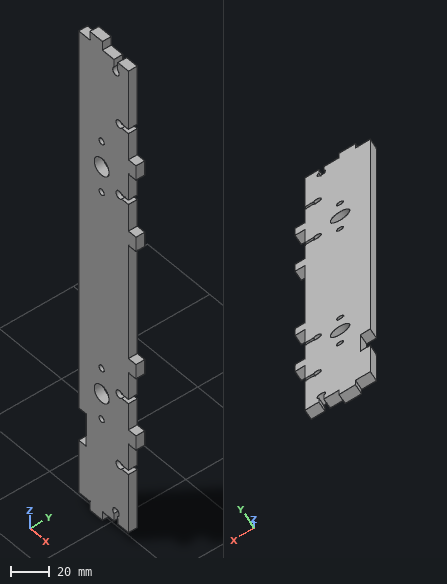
import cadquery as cq

thickness = 6.0
total_height = 337.2
tab_depth = thickness
tab_length = 10.0
body_width = 40.0
body_height = total_height - 2 * tab_depth

end_tab_x = 14.0
side_tab_heights = (45.0, 95.0)

neck_width = 3.0
relief_diameter = 5.0
relief_depth = 7.5
end_slot_x = 30.0
side_slot_heights = (70.0, 120.0)

hole_x = 18.5
hole_group_height = 80.0
large_hole_diameter = 11.8
small_hole_diameter = 4.0
small_hole_offset = 18.0

notch_depth = 6.0
notch_length = 22.5
notch_center_height = -114.3


def block(x_center, z_center, x_size, z_size):
    """Box through the full plate thickness."""
    return cq.Workplane("XY").box(x_size, thickness, z_size).translate((x_center, 0, z_center))


def disc(x_center, z_center, diameter):
    """Cylinder through the full plate thickness."""
    return (
        cq.Workplane("XZ")
        .center(x_center, z_center)
        .circle(diameter / 2)
        .extrude(thickness / 2, both=True)
    )


def side_slot(z_center):
    """Keyhole slot entering from the right edge."""
    neck = block(body_width - relief_depth / 2, z_center, relief_depth, neck_width)
    return neck.union(disc(body_width - relief_depth, z_center, relief_diameter))


def end_slot(side):
    """Keyhole slot entering from the top (side = 1) or bottom (side = -1) edge."""
    edge = body_height / 2
    neck = block(end_slot_x, side * (edge - relief_depth / 2), neck_width, relief_depth)
    return neck.union(disc(end_slot_x, side * (edge - relief_depth), relief_diameter))


plate = block(body_width / 2, 0, body_width, body_height)

for side in (1, -1):
    plate = plate.union(block(end_tab_x, side * (body_height + tab_depth) / 2, tab_length, tab_depth))
    for height in side_tab_heights:
        plate = plate.union(block(body_width + tab_depth / 2, side * height, tab_depth, tab_length))

    plate = plate.cut(end_slot(side))
    for height in side_slot_heights:
        plate = plate.cut(side_slot(side * height))

    group_z = side * hole_group_height
    plate = plate.cut(disc(hole_x, group_z, large_hole_diameter))
    for offset in (small_hole_offset, -small_hole_offset):
        plate = plate.cut(disc(hole_x, group_z + offset, small_hole_diameter))

plate = plate.cut(block(notch_depth / 2, notch_center_height, notch_depth, notch_length))

result = plate